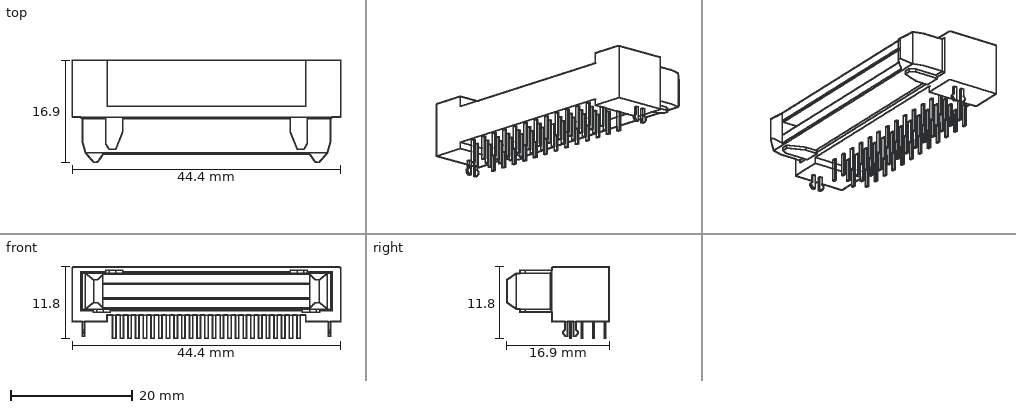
import cadquery as cq
import math


OVERALL_HEIGHT = 11.8

HOUSING_WIDTH = 44.4
HOUSING_DEPTH = 9.45
HOUSING_HEIGHT = 9.05
EDGE_RADIUS = 0.25
RECESS_WIDTH = 32.8
TOP_RECESS_DEPTH = 1.75
TOP_RECESS_LENGTH = 7.6
FOOT_HEIGHT = 1.08

PLUG_REACH = 7.45
PLUG_BOTTOM = 2.1
PLUG_TOP = 8.0
PLUG_MIDDLE = (PLUG_BOTTOM + PLUG_TOP) / 2
PLUG_HALF_WIDTH = 20.52
PLUG_STRAIGHT_LENGTH = 4.05
PLUG_SHOULDER_HALF_WIDTH = 20.0
PLUG_SHOULDER_REACH = 5.9
PLUG_FACE_REACH = 6.15
PLUG_TIP_HEIGHT = 3.75
BASE_FLARE = 0.27

PRONG_INNER_X = 17.1
PRONG_TIP_OUTER_X = 18.65
PRONG_TIP_INNER_X = 18.25
PRONG_TIP_RADIUS = 0.5
PRONG_INNER_ANGLE = 51.0

SLOT_HEIGHT = 2.25
SLOT_LIP_CHAMFER = 0.2

RIB_WIDTH = 2.83
RIB_THICKNESS = 0.53
RIB_LENGTH = 5.3
RIB_TIP_WIDTH = 1.1
RIB_OUTER_TAPER = 0.55
RIB_OUTER_STRAIGHT = 4.38
RIB_INNER_STRAIGHT = 2.35
TOP_RIB_OUTER_X = 16.65
BOTTOM_RIB_OUTER_X = 18.7

PIN_COLUMNS = 25
PIN_PITCH = 1.27
PIN_ROWS = 4
ROW_PITCH = 1.9
FIRST_ROW_Y = 3.07
PIN_WIDTH = 0.6
PIN_THICKNESS = 0.27
PIN_DROP = OVERALL_HEIGHT - HOUSING_HEIGHT

LOCK_X = 20.33
LOCK_THICKNESS = 0.42
LOCK_Y = FIRST_ROW_Y
LOCK_INNER = 0.47
LOCK_OUTER = 0.93
LOCK_BARB = 1.25
LOCK_BARB_TOP = 1.3
LOCK_BARB_WIDEST = 1.65
LOCK_BARB_END = 1.9
LOCK_TIP_WIDTH = 0.4
LOCK_DROP = 2.4

EMBED = 0.5


def block(x_size, y_min, y_max, z_min, z_max):
    return (
        cq.Workplane("XY")
        .box(x_size, y_max - y_min, z_max - z_min, centered=(True, False, False))
        .translate((0, y_min, z_min))
    )


def mirrored_pair(body):
    return body.union(body.mirror("YZ"))


def make_housing():
    housing = block(HOUSING_WIDTH, 0, HOUSING_DEPTH, 0, HOUSING_HEIGHT)
    front_edges = "(<Y and |X and >Z) or (<Y and |Z)"
    top_side_edges = ">Z and |Y"
    housing = housing.edges(f"{front_edges} or ({top_side_edges})").fillet(EDGE_RADIUS)
    top_recess = block(
        RECESS_WIDTH,
        HOUSING_DEPTH - TOP_RECESS_LENGTH,
        HOUSING_DEPTH,
        HOUSING_HEIGHT - TOP_RECESS_DEPTH,
        HOUSING_HEIGHT,
    )
    underside_channel = block(RECESS_WIDTH, 0, HOUSING_DEPTH, 0, FOOT_HEIGHT)
    return housing.cut(top_recess).cut(underside_channel)


def make_plug_plan():
    """Plug seen from above: tapered sides, flat face and a rounded prong at each end."""
    slope = math.radians(PRONG_INNER_ANGLE)
    fillet_center_y = -PLUG_REACH + PRONG_TIP_RADIUS
    fillet_end_x = PRONG_TIP_INNER_X - PRONG_TIP_RADIUS * math.sin(slope)
    fillet_end_y = fillet_center_y - PRONG_TIP_RADIUS * math.cos(slope)
    fillet_mid_x = PRONG_TIP_INNER_X - PRONG_TIP_RADIUS * math.sin(slope / 2)
    fillet_mid_y = fillet_center_y - PRONG_TIP_RADIUS * math.cos(slope / 2)
    half_plan = (
        cq.Workplane("XY")
        .moveTo(0, EMBED)
        .lineTo(PLUG_HALF_WIDTH, EMBED)
        .lineTo(PLUG_HALF_WIDTH, -PLUG_STRAIGHT_LENGTH)
        .lineTo(PLUG_SHOULDER_HALF_WIDTH, -PLUG_SHOULDER_REACH)
        .lineTo(PRONG_TIP_OUTER_X, -PLUG_REACH)
        .lineTo(PRONG_TIP_INNER_X, -PLUG_REACH)
        .threePointArc((fillet_mid_x, fillet_mid_y), (fillet_end_x, fillet_end_y))
        .lineTo(PRONG_INNER_X, -PLUG_FACE_REACH)
        .lineTo(0, -PLUG_FACE_REACH)
        .close()
        .extrude(PLUG_TOP - PLUG_BOTTOM)
        .translate((0, 0, PLUG_BOTTOM))
    )
    return mirrored_pair(half_plan)


def make_plug_side_profile():
    """Plug seen from the side: parallel top and bottom, sloping together towards the tip."""
    half_tip = PLUG_TIP_HEIGHT / 2
    return (
        cq.Workplane("YZ")
        .polyline([
            (EMBED, PLUG_BOTTOM),
            (-PLUG_SHOULDER_REACH, PLUG_BOTTOM),
            (-PLUG_REACH, PLUG_MIDDLE - half_tip),
            (-PLUG_REACH, PLUG_MIDDLE + half_tip),
            (-PLUG_SHOULDER_REACH, PLUG_TOP),
            (EMBED, PLUG_TOP),
        ])
        .close()
        .extrude(PLUG_HALF_WIDTH, both=True)
    )


def make_base_flare():
    """45 degree skirt where the plug meets the housing."""
    width = 2 * (PLUG_HALF_WIDTH + BASE_FLARE)
    height = PLUG_TOP - PLUG_BOTTOM + 2 * BASE_FLARE
    return (
        cq.Workplane("XZ")
        .center(0, PLUG_MIDDLE)
        .rect(width, height)
        .extrude(BASE_FLARE, taper=45)
    )


def make_slot():
    half_slot = SLOT_HEIGHT / 2
    half_mouth = half_slot + SLOT_LIP_CHAMFER
    lip_y = -PLUG_FACE_REACH + SLOT_LIP_CHAMFER
    return (
        cq.Workplane("YZ")
        .polyline([
            (0, PLUG_MIDDLE - half_slot),
            (lip_y, PLUG_MIDDLE - half_slot),
            (-PLUG_FACE_REACH, PLUG_MIDDLE - half_mouth),
            (-PLUG_FACE_REACH, PLUG_MIDDLE + half_mouth),
            (lip_y, PLUG_MIDDLE + half_slot),
            (0, PLUG_MIDDLE + half_slot),
        ])
        .close()
        .extrude(PRONG_INNER_X, both=True)
    )


def make_rib_pair(outer_x, z_min, z_max):
    inner_x = outer_x - RIB_WIDTH
    tip_outer_x = outer_x - RIB_OUTER_TAPER
    rib = (
        cq.Workplane("XY")
        .polyline([
            (outer_x, EMBED),
            (outer_x, -RIB_OUTER_STRAIGHT),
            (tip_outer_x, -RIB_LENGTH),
            (tip_outer_x - RIB_TIP_WIDTH, -RIB_LENGTH),
            (inner_x, -RIB_INNER_STRAIGHT),
            (inner_x, EMBED),
        ])
        .close()
        .extrude(z_max - z_min)
        .translate((0, 0, z_min))
    )
    return mirrored_pair(rib)


def make_pins():
    """Two pins per column, with neighbouring columns staggered by one row."""
    centers = []
    for column in range(PIN_COLUMNS):
        x = (column - (PIN_COLUMNS - 1) / 2) * PIN_PITCH
        for row in range(column % 2, PIN_ROWS, 2):
            centers.append((x, FIRST_ROW_Y + row * ROW_PITCH))
    return (
        cq.Workplane("XY")
        .workplane(offset=-PIN_DROP)
        .pushPoints(centers)
        .rect(PIN_WIDTH, PIN_THICKNESS)
        .extrude(PIN_DROP + FOOT_HEIGHT + EMBED)
    )


def make_board_locks():
    """Two barbed spring legs at each end of the housing."""
    leg = (
        cq.Workplane("YZ")
        .polyline([
            (LOCK_INNER, EMBED),
            (LOCK_OUTER, EMBED),
            (LOCK_OUTER, -LOCK_BARB_TOP),
            (LOCK_BARB, -LOCK_BARB_WIDEST),
            (LOCK_BARB, -LOCK_BARB_END),
            (LOCK_INNER + LOCK_TIP_WIDTH, -LOCK_DROP),
            (LOCK_INNER, -LOCK_DROP),
        ])
        .close()
        .extrude(LOCK_THICKNESS / 2, both=True)
    )
    lock = leg.union(leg.mirror("XZ")).translate((LOCK_X, LOCK_Y, 0))
    return mirrored_pair(lock)


plug = make_plug_plan().intersect(make_plug_side_profile())
plug = plug.union(make_base_flare()).cut(make_slot())
top_ribs = make_rib_pair(TOP_RIB_OUTER_X, PLUG_TOP - EMBED, PLUG_TOP + RIB_THICKNESS)
bottom_ribs = make_rib_pair(BOTTOM_RIB_OUTER_X, PLUG_BOTTOM - RIB_THICKNESS, PLUG_BOTTOM + EMBED)

result = (
    make_housing()
    .union(plug)
    .union(top_ribs)
    .union(bottom_ribs)
    .union(make_pins())
    .union(make_board_locks())
)